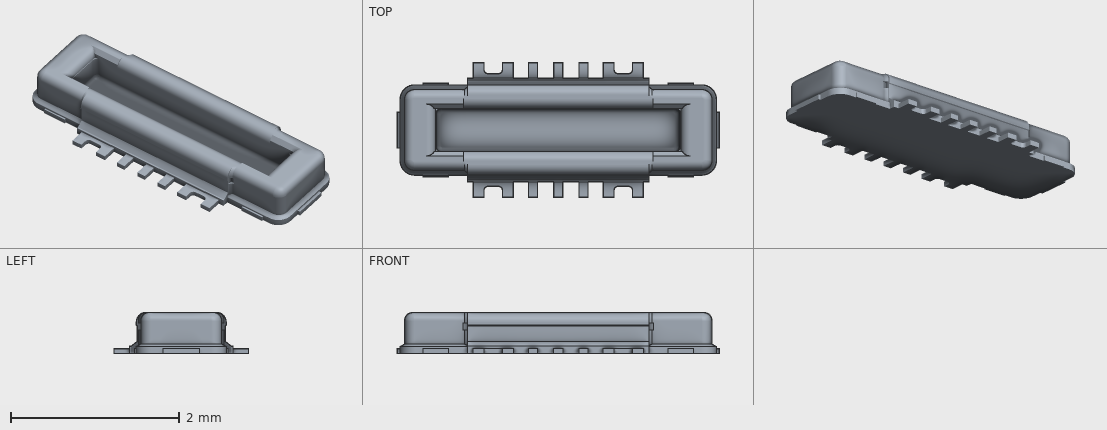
import cadquery as cq

LENGTH = 3.83
WIDTH = 1.6
HEIGHT = 0.49

BODY_HALF_LENGTH = 1.828
BODY_HALF_WIDTH = 0.48
BODY_CORNER_RADIUS = 0.118
BODY_TOP_RADIUS = 0.1
FLANGE_HALF_LENGTH = 1.882
FLANGE_HALF_WIDTH = 0.538
FLANGE_CORNER_RADIUS = 0.178
FLANGE_HEIGHT = 0.115
FLANGE_SLOPE_DROP = 0.033
FLANGE_SLOPE_RUN = FLANGE_HALF_WIDTH - BODY_HALF_WIDTH

PAD_HEIGHT = 0.06
END_PAD_WIDTH = 0.428
SIDE_PAD_LENGTH = 0.303
SIDE_PAD_X = 1.457
SIDE_PAD_HALF_SPAN = 0.558

SADDLE_HALF_LENGTH = 1.081
SADDLE_HALF_WIDTH = 0.535
SADDLE_TOP_RADIUS = 0.115
LIP_BOTTOM = 0.33
LIP_BEVEL = 0.01
SADDLE_WALL_HALF_WIDTH = SADDLE_HALF_WIDTH - LIP_BEVEL
SKIRT_HALF_WIDTH = 0.617
SKIRT_LEDGE = 0.02
SKIRT_SLOPE_TOP = 0.145
SKIRT_SLOPE_BOTTOM = 0.088

SHOULDER_HALF_LENGTH = 1.117
SHOULDER_HALF_WIDTH = 0.511
RECESS_HALF_LENGTH = 1.133
RECESS_FLOOR_HALF_WIDTH = 0.463
RECESS_BOTTOM = 0.278
RECESS_TOP = 0.367

CAVITY_HALF_LENGTH = 1.458
CAVITY_FLOOR_HALF_LENGTH = 1.439
CAVITY_HALF_WIDTH = 0.256
CAVITY_FLOOR = 0.09
CAVITY_CORNER_RADIUS = 0.06
CAVITY_FLOOR_RADIUS = 0.05
MOUTH_HALF_LENGTH = 1.566
MOUTH_HALF_WIDTH = 0.307
MOUTH_END_RADIUS = MOUTH_HALF_LENGTH - CAVITY_HALF_LENGTH
MOUTH_SIDE_DROP = MOUTH_HALF_WIDTH - CAVITY_HALF_WIDTH
INNER_LIP_HALF_LENGTH = 1.126
INNER_LIP_RADIUS = 0.11

PIN_COUNT = 3
PIN_PITCH = 0.3
PIN_WIDTH = 0.11
FORK_X = 0.773
FORK_WIDTH = 0.478
FORK_NOTCH_WIDTH = 0.217
FORK_NOTCH_DEPTH = 0.13
FORK_NOTCH_RADIUS = 0.048

SIDES = (-1, 1)


def block(half_length, half_width, bottom, top):
    """Box centred on the Z axis."""
    return (
        cq.Workplane("XY")
        .workplane(offset=bottom)
        .rect(2 * half_length, 2 * half_width)
        .extrude(top - bottom)
    )


def housing():
    flange = (
        block(FLANGE_HALF_LENGTH, FLANGE_HALF_WIDTH, 0, FLANGE_HEIGHT)
        .edges("|Z")
        .fillet(FLANGE_CORNER_RADIUS)
        .faces(">Z")
        .chamfer(FLANGE_SLOPE_DROP, FLANGE_SLOPE_RUN)
    )
    body = (
        block(BODY_HALF_LENGTH, BODY_HALF_WIDTH, 0, HEIGHT)
        .edges("|Z")
        .fillet(BODY_CORNER_RADIUS)
        .faces(">Z")
        .edges()
        .fillet(BODY_TOP_RADIUS)
    )
    return flange.union(body)


def pads():
    foot_pads = block(LENGTH / 2, END_PAD_WIDTH / 2, 0, PAD_HEIGHT)
    for side in SIDES:
        side_pad = block(SIDE_PAD_LENGTH / 2, SIDE_PAD_HALF_SPAN, 0, PAD_HEIGHT)
        foot_pads = foot_pads.union(side_pad.translate((side * SIDE_PAD_X, 0, 0)))
    return foot_pads


def round_top(profile, half_width, radius):
    """Finish a half profile from its outer wall, over the top arc, to the mid plane."""
    return (
        profile.lineTo(half_width, HEIGHT - radius)
        .radiusArc((half_width - radius, HEIGHT), -radius)
        .lineTo(0, HEIGHT)
        .close()
    )


def both_walls(half):
    """Add the mirror image across the XZ plane."""
    return half.union(half.mirror("XZ"))


def saddle():
    profile = (
        cq.Workplane("YZ")
        .lineTo(SKIRT_HALF_WIDTH, 0)
        .lineTo(SKIRT_HALF_WIDTH, SKIRT_SLOPE_BOTTOM)
        .lineTo(SKIRT_HALF_WIDTH - SKIRT_LEDGE, SKIRT_SLOPE_BOTTOM)
        .lineTo(SADDLE_WALL_HALF_WIDTH, SKIRT_SLOPE_TOP)
        .lineTo(SADDLE_WALL_HALF_WIDTH, LIP_BOTTOM)
        .lineTo(SADDLE_HALF_WIDTH, LIP_BOTTOM + LIP_BEVEL)
    )
    half = round_top(profile, SADDLE_HALF_WIDTH, SADDLE_TOP_RADIUS)
    return both_walls(half.extrude(SADDLE_HALF_LENGTH, both=True))


def shoulders():
    """Walls that flare from the housing section to a wider section at each saddle end."""
    flare_length = SHOULDER_HALF_LENGTH - SADDLE_HALF_LENGTH
    start = round_top(
        cq.Workplane("YZ", origin=(-SHOULDER_HALF_LENGTH, 0, 0)).lineTo(BODY_HALF_WIDTH, 0),
        BODY_HALF_WIDTH,
        BODY_TOP_RADIUS,
    )
    flare = round_top(
        start.workplane(offset=flare_length).lineTo(SHOULDER_HALF_WIDTH, 0),
        SHOULDER_HALF_WIDTH,
        BODY_TOP_RADIUS,
    ).loft(ruled=True)
    return both_walls(flare.union(flare.mirror("YZ")))


def recesses():
    """Pockets in both long walls; the saddle fills all but their ends."""
    outside = block(RECESS_HALF_LENGTH, SADDLE_HALF_WIDTH, RECESS_BOTTOM, RECESS_TOP)
    core = block(RECESS_HALF_LENGTH, RECESS_FLOOR_HALF_WIDTH, RECESS_BOTTOM, RECESS_TOP)
    return outside.cut(core)


def solder_tails():
    pin = block(PIN_WIDTH / 2, WIDTH / 2, 0, PAD_HEIGHT)
    fork = block(FORK_WIDTH / 2, WIDTH / 2, 0, PAD_HEIGHT)
    for side in SIDES:
        notch = (
            block(FORK_NOTCH_WIDTH / 2, FORK_NOTCH_DEPTH, 0, PAD_HEIGHT)
            .edges("|Z")
            .fillet(FORK_NOTCH_RADIUS)
        )
        fork = fork.cut(notch.translate((0, side * WIDTH / 2, 0)))

    tails = fork.translate((-FORK_X, 0, 0)).union(fork.translate((FORK_X, 0, 0)))
    for index in range(PIN_COUNT):
        pin_x = (index - (PIN_COUNT - 1) / 2) * PIN_PITCH
        tails = tails.union(pin.translate((pin_x, 0, 0)))
    return tails


def cavity():
    """Trough with slightly drafted end walls."""
    return (
        cq.Workplane("XZ")
        .moveTo(-CAVITY_FLOOR_HALF_LENGTH, CAVITY_FLOOR)
        .lineTo(CAVITY_FLOOR_HALF_LENGTH, CAVITY_FLOOR)
        .lineTo(CAVITY_HALF_LENGTH, HEIGHT)
        .lineTo(-CAVITY_HALF_LENGTH, HEIGHT)
        .close()
        .extrude(CAVITY_HALF_WIDTH, both=True)
        .edges("not(|X or |Y)")
        .fillet(CAVITY_CORNER_RADIUS)
        .faces("<Z")
        .edges()
        .fillet(CAVITY_FLOOR_RADIUS)
    )


def mouth():
    """Flared opening: rounded at both ends, sloped along the sides."""
    end_bottom = HEIGHT - MOUTH_END_RADIUS
    side_bottom = HEIGHT - MOUTH_SIDE_DROP
    rounded_ends = (
        cq.Workplane("XZ")
        .moveTo(-CAVITY_HALF_LENGTH, end_bottom)
        .lineTo(CAVITY_HALF_LENGTH, end_bottom)
        .radiusArc((MOUTH_HALF_LENGTH, HEIGHT), MOUTH_END_RADIUS)
        .lineTo(-MOUTH_HALF_LENGTH, HEIGHT)
        .radiusArc((-CAVITY_HALF_LENGTH, end_bottom), MOUTH_END_RADIUS)
        .close()
        .extrude(MOUTH_HALF_WIDTH, both=True)
    )
    sloped_sides = (
        cq.Workplane("YZ")
        .moveTo(-CAVITY_HALF_WIDTH, end_bottom)
        .lineTo(CAVITY_HALF_WIDTH, end_bottom)
        .lineTo(CAVITY_HALF_WIDTH, side_bottom)
        .lineTo(MOUTH_HALF_WIDTH, HEIGHT)
        .lineTo(-MOUTH_HALF_WIDTH, HEIGHT)
        .lineTo(-CAVITY_HALF_WIDTH, side_bottom)
        .close()
        .extrude(MOUTH_HALF_LENGTH, both=True)
    )
    middle = block(INNER_LIP_HALF_LENGTH, MOUTH_HALF_WIDTH, end_bottom, HEIGHT)
    return rounded_ends.intersect(sloped_sides).cut(middle)


def inner_lips():
    """Space above the rounded inner edges of the two saddle walls."""
    bottom = HEIGHT - INNER_LIP_RADIUS
    outer = CAVITY_HALF_WIDTH + INNER_LIP_RADIUS
    return (
        cq.Workplane("YZ")
        .moveTo(-CAVITY_HALF_WIDTH, bottom)
        .lineTo(CAVITY_HALF_WIDTH, bottom)
        .radiusArc((outer, HEIGHT), INNER_LIP_RADIUS)
        .lineTo(-outer, HEIGHT)
        .radiusArc((-CAVITY_HALF_WIDTH, bottom), INNER_LIP_RADIUS)
        .close()
        .extrude(INNER_LIP_HALF_LENGTH, both=True)
    )


moulding = housing().union(shoulders()).cut(recesses())
outer_shape = moulding.union(pads()).union(saddle()).union(solder_tails())
result = outer_shape.cut(cavity()).cut(mouth()).cut(inner_lips())